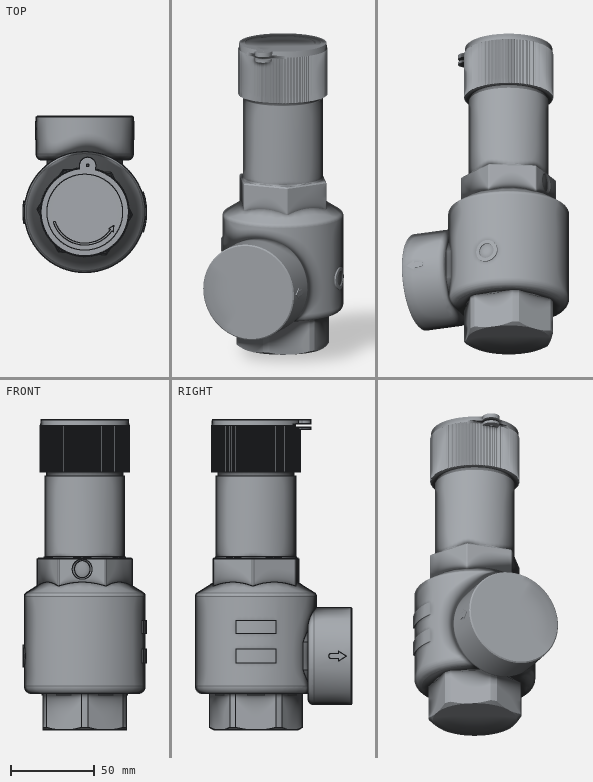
import cadquery as cq
import math


total_height = 186.3
tilt = -3.6
overlap = 2.0

inlet_apothem = 25.1
inlet_corner_radius = 27.9
inlet_chamfer_width = 2.7
inlet_chamfer_height = 1.6
collar_radius = 25.6
collar_bottom = 21.1

body_radius = 36.3
body_bottom = 21.8
body_shoulder = 81.6
body_bottom_fillet = 4.6
body_shoulder_fillet = 2.6

bonnet_hex_apothem = 24.9
bonnet_hex_edge_fillet = 1.1
bonnet_hex_top = 103.3
bonnet_hex_chamfer = 0.8
cone_top = 88.8
flare_height = 0.8
plug_radius = 6.0
plug_height = 96.5
plug_wall_angle = 45

bonnet_radius = 24.0
bonnet_top = 152.5
knob_neck_radius = 22.9

knob_radius = 26.8
knob_bottom = 154.7
knob_top = 182.7
knurl_count = 180
knurl_depth = 0.5
cap_bottom_radius = 26.5
cap_top_radius = 26.2
cap_recess_radius = 22.8
cap_mark_depth = 0.2

lug_distance = 28.1
lug_radius = 4.9
lug_hole_diameter = 1.6
upper_lug_bottom = 183.8
lower_lug_top = 181.8
lower_lug_bottom = 180.4
lug_slot_start = 23.0

turn_arrow_inner = 18.6
turn_arrow_outer = 19.8
turn_arrow_head_half_width = 1.7
turn_arrow_start = 201.0
turn_arrow_head = 329.0
turn_arrow_tip = 339.0

outlet_radius = 29.2
outlet_z = 44.4
outlet_end = 57.7
outlet_back = 31.3
outlet_back_fillet = 3.5
outlet_end_chamfer = 0.7
outlet_neck_apothem = 22.7
outlet_neck_corner_radius = 24.2

flow_arrow_relief = 0.5
flow_arrow_tip = 54.3
flow_arrow_shoulder = 49.5
flow_arrow_tail = 43.7
flow_arrow_head_half = 3.0
flow_arrow_shaft_half = 1.6

marking_relief = 0.9
emblem_outer_radius = 6.7
emblem_inner_radius = 4.6
panel_half_length = 12.0
panel_heights = [(40.2, 48.6), (57.8, 65.7)]


def cylinder(radius, bottom, top):
    return cq.Workplane("XY").workplane(offset=bottom).circle(radius).extrude(top - bottom)


def hexagon(apothem, height):
    """Hexagonal prism from Z = 0 with two corners on the X axis."""
    return cq.Workplane("XY").polygon(6, 2 * apothem / math.cos(math.pi / 6)).extrude(height)


def revolved(points):
    """Solid of revolution about Z from a closed (radius, z) outline."""
    return cq.Workplane("XZ").polyline(points).close().revolve(360, (0, 0, 0), (0, 1, 0))


def polar(radius, angle):
    angle = math.radians(angle)
    return (radius * math.cos(angle), radius * math.sin(angle))


def make_inlet():
    """Base hexagon with flats on +-X, turned corners, a chamfered lower end and a collar on top."""
    top = body_bottom + overlap
    prism = hexagon(inlet_apothem, top).rotate((0, 0, 0), (0, 0, 1), 30)
    envelope = revolved([
        (0, 0),
        (inlet_corner_radius - inlet_chamfer_width, 0),
        (inlet_corner_radius, inlet_chamfer_height),
        (inlet_corner_radius, top),
        (0, top),
    ])
    collar = cylinder(collar_radius, collar_bottom, top)
    return prism.intersect(envelope).union(collar)


def make_body():
    """Drum with rounded bottom edge and conical shoulder."""
    drum = revolved([
        (0, body_bottom),
        (body_radius, body_bottom),
        (body_radius, body_shoulder),
        (bonnet_hex_apothem, cone_top),
        (0, cone_top),
    ])
    drum = drum.faces("<Z").edges().fillet(body_bottom_fillet)
    shoulder_edge = cq.selectors.BoxSelector(
        (-2 * body_radius, -2 * body_radius, body_shoulder - overlap),
        (2 * body_radius, 2 * body_radius, body_shoulder + overlap),
    )
    return drum.edges("%CIRCLE").edges(shoulder_edge).fillet(body_shoulder_fillet)


def make_bonnet():
    """Hexagon with a plug recess on its -Y flat, and the tube above it."""
    base = body_shoulder - overlap
    hex_prism = hexagon(bonnet_hex_apothem, bonnet_hex_top - base)
    hex_prism = hex_prism.edges("|Z").fillet(bonnet_hex_edge_fillet)
    hex_prism = hex_prism.faces(">Z").edges().chamfer(bonnet_hex_chamfer)
    hex_prism = hex_prism.translate((0, 0, base))

    flare = revolved([
        (0, bonnet_hex_top),
        (bonnet_radius + flare_height, bonnet_hex_top),
        (bonnet_radius, bonnet_hex_top + flare_height),
        (0, bonnet_hex_top + flare_height),
    ])
    flare_limit = hexagon(bonnet_hex_apothem - bonnet_hex_chamfer, total_height)

    recess = cq.Workplane("XZ", origin=(0, -bonnet_hex_apothem, plug_height))
    recess = recess.circle(plug_radius).extrude(-overlap, taper=plug_wall_angle)

    tube = cylinder(bonnet_radius, base, bonnet_top)
    bonnet = hex_prism.union(flare.intersect(flare_limit)).cut(recess).union(tube)
    return bonnet.rotate((0, 0, 0), (0, 0, 1), tilt)


def make_knob():
    """Knurled grip with a narrower neck beneath it."""
    pitch = 360 / knurl_count
    outline = []
    for tooth in range(knurl_count):
        outline.append(polar(knob_radius, tooth * pitch))
        outline.append(polar(knob_radius - knurl_depth, (tooth + 0.5) * pitch))
    grip = cq.Workplane("XY").workplane(offset=knob_bottom)
    grip = grip.polyline(outline).close().extrude(knob_top - knob_bottom)
    neck = cylinder(knob_neck_radius, bonnet_top - overlap, knob_bottom + overlap)
    return grip.union(neck)


def make_lug(bottom, top):
    """Round-ended lug along +Y, rooted inside the cap or knob."""
    root = lug_slot_start - overlap
    return (
        cq.Workplane("XY")
        .workplane(offset=bottom)
        .moveTo(-lug_radius, root)
        .lineTo(lug_radius, root)
        .lineTo(lug_radius, lug_distance)
        .threePointArc((0, lug_distance + lug_radius), (-lug_radius, lug_distance))
        .close()
        .extrude(top - bottom)
    )


def make_turn_arrow():
    """Cutter for the turning arrow, sunk below the floor of the cap recess."""
    middle_radius = (turn_arrow_inner + turn_arrow_outer) / 2
    middle_angle = (turn_arrow_start + turn_arrow_head) / 2
    return (
        cq.Workplane("XY")
        .workplane(offset=total_height - 2 * cap_mark_depth)
        .moveTo(*polar(turn_arrow_outer, turn_arrow_start))
        .threePointArc(
            polar(turn_arrow_outer, middle_angle), polar(turn_arrow_outer, turn_arrow_head)
        )
        .lineTo(*polar(middle_radius + turn_arrow_head_half_width, turn_arrow_head))
        .lineTo(*polar(middle_radius, turn_arrow_tip))
        .lineTo(*polar(middle_radius - turn_arrow_head_half_width, turn_arrow_head))
        .lineTo(*polar(turn_arrow_inner, turn_arrow_head))
        .threePointArc(
            polar(turn_arrow_inner, middle_angle), polar(turn_arrow_inner, turn_arrow_start)
        )
        .close()
        .extrude(cap_mark_depth)
    )


def make_head():
    """Knob and cap with the two sealing lugs and the slot between them."""
    cap = revolved([
        (0, knob_top),
        (cap_bottom_radius, knob_top),
        (cap_top_radius, total_height),
        (0, total_height),
    ])
    recess = cylinder(cap_recess_radius, total_height - cap_mark_depth, total_height)
    cap = cap.cut(recess).cut(make_turn_arrow())

    slot = cq.Workplane("XY").box(
        2 * knob_radius,
        2 * knob_radius,
        upper_lug_bottom - lower_lug_top,
        centered=(True, False, False),
    ).translate((0, lug_slot_start, lower_lug_top))
    hole_bottom = lower_lug_bottom - overlap
    hole = cylinder(lug_hole_diameter / 2, hole_bottom, total_height)
    hole = hole.translate((0, lug_distance, 0))

    head = make_knob().union(cap).cut(slot)
    head = head.union(make_lug(upper_lug_bottom, total_height).cut(recess))
    head = head.union(make_lug(lower_lug_bottom, lower_lug_top)).cut(hole)
    return head.rotate((0, 0, 0), (0, 0, 1), tilt)


def make_flow_arrow(side):
    """Raised arrow pointing to +Y on the outlet, on the side given by the sign of X."""
    arrow = (
        cq.Workplane("YZ")
        .moveTo(flow_arrow_tip, outlet_z)
        .lineTo(flow_arrow_shoulder, outlet_z + flow_arrow_head_half)
        .lineTo(flow_arrow_shoulder, outlet_z + flow_arrow_shaft_half)
        .lineTo(flow_arrow_tail + flow_arrow_shaft_half, outlet_z + flow_arrow_shaft_half)
        .threePointArc(
            (flow_arrow_tail, outlet_z),
            (flow_arrow_tail + flow_arrow_shaft_half, outlet_z - flow_arrow_shaft_half),
        )
        .lineTo(flow_arrow_shoulder, outlet_z - flow_arrow_shaft_half)
        .lineTo(flow_arrow_shoulder, outlet_z - flow_arrow_head_half)
        .close()
        .extrude(side * 2 * outlet_radius)
    )
    skin = cq.Workplane("XZ", origin=(0, 0, outlet_z))
    skin = skin.circle(outlet_radius + flow_arrow_relief).extrude(-outlet_end)
    return arrow.intersect(skin)


def make_outlet():
    """Round outlet socket on a hexagonal neck, with a flow arrow on each side."""
    socket = cq.Workplane("XZ", origin=(0, outlet_back, outlet_z))
    socket = socket.circle(outlet_radius).extrude(outlet_back - outlet_end)
    socket = socket.faces("<Y").edges().fillet(outlet_back_fillet)
    socket = socket.faces(">Y").edges().chamfer(outlet_end_chamfer)

    neck_length = outlet_back + overlap
    prism = hexagon(outlet_neck_apothem, neck_length).rotate((0, 0, 0), (0, 0, 1), 30)
    neck = prism.intersect(cylinder(outlet_neck_corner_radius, 0, neck_length))
    neck = neck.rotate((0, 0, 0), (1, 0, 0), -90).translate((0, 0, outlet_z))
    neck = neck.intersect(cylinder(2 * body_radius, body_bottom, body_shoulder))

    outlet = socket.union(neck)
    for side in (-1, 1):
        outlet = outlet.union(make_flow_arrow(side))
    return outlet


def make_markings():
    """Plain raised fields: a ring on the -X side and two bands on the +X side."""
    ring = cq.Workplane("YZ", origin=(0, 0, outlet_z))
    ring = ring.circle(emblem_outer_radius).circle(emblem_inner_radius)
    fields = ring.extrude(-2 * body_radius)
    for bottom, top in panel_heights:
        panel = cq.Workplane("XY").box(
            2 * body_radius, 2 * panel_half_length, top - bottom, centered=(False, True, False)
        )
        fields = fields.union(panel.translate((0, 0, bottom)))
    skin = cylinder(body_radius + marking_relief, body_bottom, body_shoulder)
    return fields.intersect(skin)


result = (
    make_body()
    .union(make_inlet())
    .union(make_bonnet())
    .union(make_head())
    .union(make_outlet())
    .union(make_markings())
)